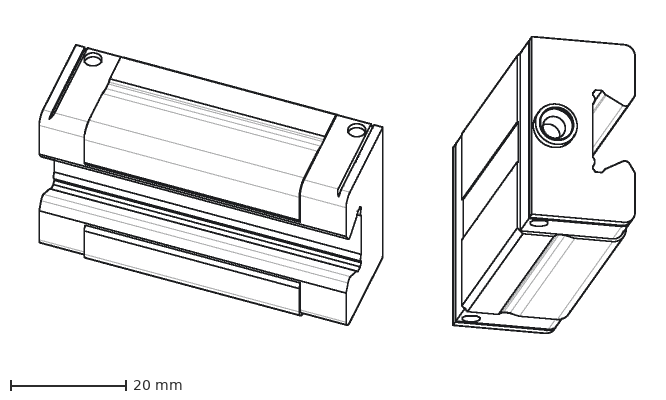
import cadquery as cq


total_length = 58.9
body_depth = 19.5
body_height = 34.0

port_projection = 2.0
body_length = 39.9
cap_start = port_projection
assembly_length = total_length - cap_start
assembly_center = cap_start + assembly_length / 2
body_start = assembly_center - body_length / 2

cap_inset = 0.5
body_front_radius = 2.5
body_back_chamfer = 1.0
cap_depth = body_depth - 2 * cap_inset
cap_height = body_height - 2 * cap_inset
cap_front_radius = body_front_radius - cap_inset
cap_front = body_depth - cap_inset

back_relief_depth = 0.205
back_relief_height = 7.4
front_relief_outer_height = 17.3
front_relief_inner_height = 15.45

side_groove_depth = 0.4
side_groove_start = 6.55
side_groove_floor_start = 7.2
side_groove_floor_end = 8.55
side_groove_end = 10.25
side_groove_radius = 0.7

channel_floor = 11.4
bead_height = 0.35
channel_mouth = (cap_front, 7.2)
channel_lip = (17.55, 4.8)
channel_lip_radius = 0.95
flank_end = (13.65, 6.9)
flank_radius = 0.6
corner_groove_front = (13.1, 7.6)
corner_groove_back = (11.9, 7.6)
corner_groove_wall = (channel_floor, 7.0)
bead_outer = (channel_floor, 6.65)
bead_crest = (channel_floor + bead_height, 5.8)
bead_inner = (channel_floor, 4.9)

notch_offset = 1.65
notch_width = 0.55
notch_depth = 0.5

hole_offset = 4.0
hole_distance = 2.75
hole_diameter = 3.1
hole_depth = 1.0

port_distance = 4.5
port_diameter = 7.5
port_lip_diameter = 6.0
port_lip_length = 0.4
port_opening_diameter = 5.9
port_wall = 0.3
port_bore_diameter = 4.0
port_bore_depth = 5.9


def yz_plane(x):
    return cq.Workplane("YZ", origin=(x, 0, 0))


def at(point, side=1):
    """Map (distance from back face, half height) to (Y, Z) on one side of Z = 0."""
    distance, half_height = point
    return (-distance, side * half_height)


def block(x, length, back, depth, height, front_radius):
    """Bar along X with both front (-Y) edges rounded."""
    bar = cq.Workplane("XY").box(length, depth, height, centered=(False, False, True))
    bar = bar.edges("|X and <Y").fillet(front_radius)
    return bar.translate((x, -back - depth, 0))


def end_caps():
    return block(cap_start, assembly_length, cap_inset, cap_depth, cap_height, cap_front_radius)


def side_groove(side):
    top = body_height / 2
    floor = top - side_groove_depth
    outline = [
        (side_groove_start, top),
        (side_groove_floor_start, floor),
        (side_groove_floor_end, floor),
        (side_groove_end, top),
    ]
    points = [at(point, side) for point in outline]
    cutter = yz_plane(body_start).polyline(points).close().extrude(body_length)
    corner_middle = (assembly_center, *points[1])
    return cutter.edges(cq.NearestToPointSelector(corner_middle)).fillet(side_groove_radius)


def body():
    bar = block(body_start, body_length, 0, body_depth, body_height, body_front_radius)
    bar = bar.edges("|X and >Y").chamfer(body_back_chamfer)

    back_relief = (
        yz_plane(body_start)
        .center(-back_relief_depth / 2, 0)
        .rect(back_relief_depth, back_relief_height)
        .extrude(body_length)
    )

    outer = (body_depth, front_relief_outer_height / 2)
    inner = (cap_front, front_relief_inner_height / 2)
    front_points = [at(outer), at(inner), at(inner, -1), at(outer, -1)]
    front_relief = yz_plane(body_start).polyline(front_points).close().extrude(body_length)

    bar = bar.cut(back_relief).cut(front_relief)
    for side in (1, -1):
        bar = bar.cut(side_groove(side))
    return bar


def rail_channel():
    mouth_front = (body_depth, channel_mouth[1])
    cutter = (
        yz_plane(cap_start)
        .moveTo(*at(mouth_front))
        .lineTo(*at(channel_mouth))
        .lineTo(*at(channel_lip))
        .lineTo(*at(flank_end))
        .lineTo(*at(corner_groove_front))
        .lineTo(*at(corner_groove_back))
        .lineTo(*at(corner_groove_wall))
        .lineTo(*at(bead_outer))
        .threePointArc(at(bead_crest), at(bead_inner))
        .lineTo(*at(bead_inner, -1))
        .threePointArc(at(bead_crest, -1), at(bead_outer, -1))
        .lineTo(*at(corner_groove_wall, -1))
        .lineTo(*at(corner_groove_back, -1))
        .lineTo(*at(corner_groove_front, -1))
        .lineTo(*at(flank_end, -1))
        .lineTo(*at(channel_lip, -1))
        .lineTo(*at(channel_mouth, -1))
        .lineTo(*at(mouth_front, -1))
        .close()
        .extrude(assembly_length)
    )
    for side in (1, -1):
        lip_middle = (assembly_center, *at(channel_lip, side))
        lip_edge = cutter.edges(cq.NearestToPointSelector(lip_middle))
        cutter = lip_edge.fillet(channel_lip_radius)
        flank_middle = (assembly_center, *at(flank_end, side))
        flank_edge = cutter.edges(cq.NearestToPointSelector(flank_middle))
        cutter = flank_edge.fillet(flank_radius)
    return cutter


def cap_notches():
    """V notches on the top, bottom and back of the -X cap, square towards the end."""
    x = cap_start + notch_offset
    half_height = cap_height / 2
    top_notch = (
        cq.Workplane("XZ")
        .polyline([(x, half_height), (x, half_height - notch_depth), (x + notch_width, half_height)])
        .close()
        .extrude(body_depth)
    )
    back_notch = (
        cq.Workplane("XY")
        .polyline([(x, -cap_inset), (x, -cap_inset - notch_depth), (x + notch_width, -cap_inset)])
        .close()
        .extrude(half_height, both=True)
    )
    return top_notch.union(top_notch.mirror("XY")).union(back_notch)


def cap_holes():
    """Blind holes in the top and bottom of the -X cap."""
    hole = (
        cq.Workplane("XY", origin=(cap_start + hole_offset, -hole_distance, cap_height / 2))
        .circle(hole_diameter / 2)
        .extrude(-hole_depth)
    )
    return hole.union(hole.mirror("XY"))


def port_cylinder(diameter, start, end):
    return yz_plane(start).center(-port_distance, 0).circle(diameter / 2).extrude(end - start)


carriage = end_caps().union(body()).cut(rail_channel())

cap_details = cap_notches().union(cap_holes())
other_cap_details = cap_details.mirror("YZ", (assembly_center, 0, 0))
carriage = carriage.cut(cap_details).cut(other_cap_details)

carriage = carriage.union(port_cylinder(port_diameter, port_lip_length, cap_start))
carriage = carriage.union(port_cylinder(port_lip_diameter, 0, port_lip_length))
carriage = carriage.cut(port_cylinder(port_opening_diameter, 0, cap_start))
cup_diameter = port_diameter - 2 * port_wall
carriage = carriage.cut(port_cylinder(cup_diameter, port_lip_length + port_wall, cap_start))
carriage = carriage.cut(port_cylinder(port_bore_diameter, cap_start, port_bore_depth))

result = carriage